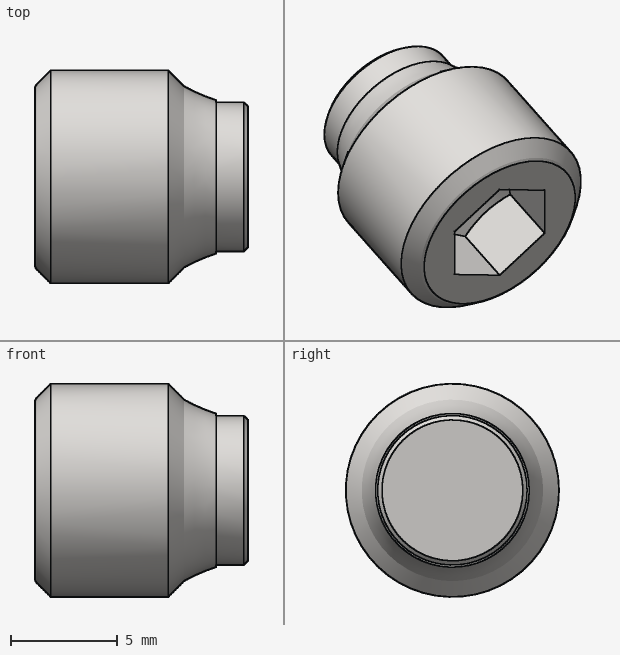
import cadquery as cq
import math

length = 10.0
body_radius = 5.0

face_radius = 4.2
rim_radius = 4.33
rim_length = 0.08
socket_chamfer_length = 0.75

shoulder_start = 6.25
neck_start = 7.0
dog_start = 8.5
neck_radius = body_radius - (neck_start - shoulder_start)
neck_end_radius = 3.6
neck_mid_radius = 3.88
dog_radius = 3.5
dog_chamfer = 0.2

hex_across_flats = 5.0
hex_depth = 3.0
drill_point_angle = 120.0


def make_body():
    """Revolve the half profile about the X axis."""
    neck_middle = (neck_start + dog_start) / 2
    return (
        cq.Workplane("XY")
        .lineTo(0, face_radius)
        .lineTo(rim_length, rim_radius)
        .lineTo(socket_chamfer_length, body_radius)
        .lineTo(shoulder_start, body_radius)
        .lineTo(neck_start, neck_radius)
        .threePointArc((neck_middle, neck_mid_radius), (dog_start, neck_end_radius))
        .lineTo(dog_start, dog_radius)
        .lineTo(length - dog_chamfer, dog_radius)
        .lineTo(length, dog_radius - dog_chamfer)
        .lineTo(length, 0)
        .close()
        .revolve(360, (0, 0, 0), (1, 0, 0))
    )


def make_socket():
    """Hexagonal prism with corners on +Z and -Z, ending in a conical bottom."""
    corner_radius = hex_across_flats / math.sqrt(3)
    cone_height = corner_radius / math.tan(math.radians(drill_point_angle / 2))
    prism = (
        cq.Workplane("YZ")
        .polygon(6, 2 * corner_radius)
        .extrude(hex_depth + cone_height)
        .rotate((0, 0, 0), (1, 0, 0), 90)
    )
    drill = (
        cq.Workplane("XY")
        .lineTo(0, corner_radius)
        .lineTo(hex_depth, corner_radius)
        .lineTo(hex_depth + cone_height, 0)
        .close()
        .revolve(360, (0, 0, 0), (1, 0, 0))
    )
    return prism.intersect(drill)


result = make_body().cut(make_socket())